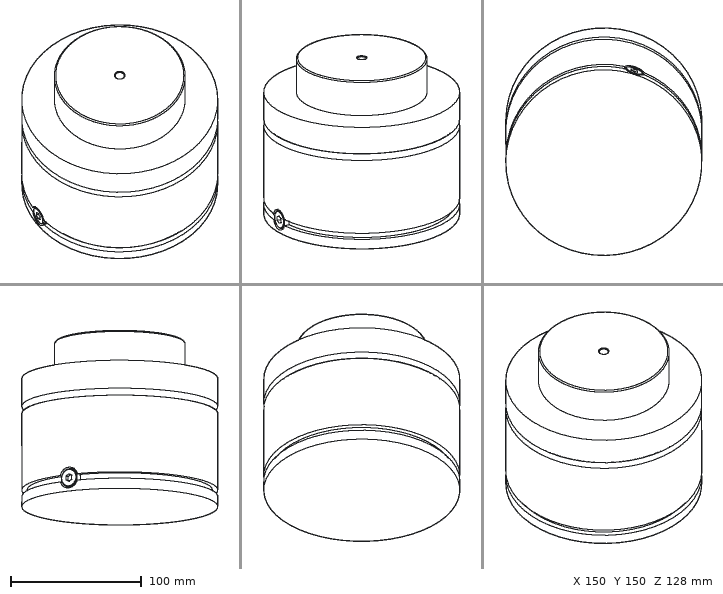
import cadquery as cq
import math

body_diameter = 150.0
body_height = 99.8
rod_diameter = 100.0
total_height = 128.0
rod_chamfer = 1.0

base_groove_bottom = 8.0
base_groove_top = 12.9
base_groove_depth = 4.0

round_groove_bottom = 72.6
round_groove_top = 78.0
round_groove_depth = 2.5

hole_diameter = 6.8
hole_mouth_diameter = 8.0
hole_depth = 15.0
drill_point_angle = 118.0

plug_height = 10.5
pocket_diameter = 16.0
pocket_depth = 6.0
plug_diameter = 14.0
plug_recess = 0.3
plug_chamfer = 0.6
socket_across_flats = 5.1
socket_depth = 3.0

body_radius = body_diameter / 2
rod_radius = rod_diameter / 2


def make_body():
    """Revolve the stepped outline, including both outer grooves."""
    base_groove_radius = body_radius - base_groove_depth
    round_groove_middle = (round_groove_bottom + round_groove_top) / 2
    return (
        cq.Workplane("XZ")
        .lineTo(body_radius, 0)
        .lineTo(body_radius, base_groove_bottom)
        .lineTo(base_groove_radius, base_groove_bottom)
        .lineTo(base_groove_radius, base_groove_top)
        .lineTo(body_radius, base_groove_top)
        .lineTo(body_radius, round_groove_bottom)
        .threePointArc(
            (body_radius - round_groove_depth, round_groove_middle),
            (body_radius, round_groove_top),
        )
        .lineTo(body_radius, body_height)
        .lineTo(rod_radius, body_height)
        .lineTo(rod_radius, total_height - rod_chamfer)
        .lineTo(rod_radius - rod_chamfer, total_height)
        .lineTo(0, total_height)
        .close()
        .revolve(360, (0, 0, 0), (0, 1, 0))
    )


def make_rod_hole():
    """Blind hole on the rod axis, to be cut from the body."""
    hole_radius = hole_diameter / 2
    mouth_radius = hole_mouth_diameter / 2
    mouth_depth = mouth_radius - hole_radius
    point_depth = hole_radius / math.tan(math.radians(drill_point_angle / 2))
    floor_height = total_height - hole_depth
    return (
        cq.Workplane("XZ")
        .moveTo(0, total_height)
        .lineTo(mouth_radius, total_height)
        .lineTo(hole_radius, total_height - mouth_depth)
        .lineTo(hole_radius, floor_height)
        .lineTo(0, floor_height - point_depth)
        .close()
        .revolve(360, (0, 0, 0), (0, 1, 0))
    )


def plane_below_surface(depth):
    """Plane facing -Y, centred on the plug at a depth below the body surface."""
    return cq.Workplane("XZ", origin=(0, depth - body_radius, plug_height))


def make_pocket():
    return plane_below_surface(pocket_depth).circle(pocket_diameter / 2).extrude(pocket_depth)


def make_plug():
    """Round plug with a chamfered rim standing on the pocket floor, with a hexagon socket."""
    socket_corner_diameter = socket_across_flats / math.cos(math.pi / 6)
    plug = (
        plane_below_surface(pocket_depth)
        .circle(plug_diameter / 2)
        .extrude(pocket_depth - plug_recess)
        .faces("<Y")
        .chamfer(plug_chamfer)
    )
    socket = (
        plane_below_surface(plug_recess + socket_depth)
        .transformed(rotate=(0, 0, 90))
        .polygon(6, socket_corner_diameter)
        .extrude(socket_depth)
    )
    return plug.cut(socket)


result = make_body().cut(make_rod_hole()).cut(make_pocket()).union(make_plug())